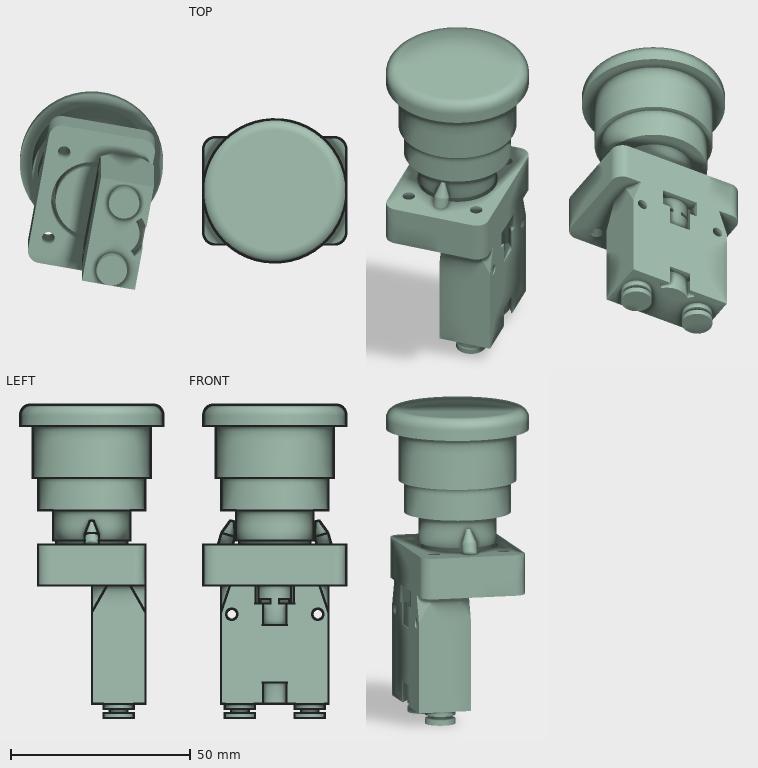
import cadquery as cq
import math


plate_length = 40.0
plate_width = 30.0
plate_height = 11.5
plate_corner_radius = 3.5
plate_bore_diameter = 22.5
plate_hole_diameter = 3.5
plate_hole_pitch_x = 25.0
plate_hole_pitch_y = 20.0

peg_diameter = 4.0
peg_tip_diameter = 1.1
peg_tip_fillet = 0.3
peg_straight_length = 2.75
peg_cone_length = 4.05
peg_embed = 2.0
peg_offset = 13.75
peg_lean = 16.0

foot_diameter = 20.0
neck_gap = 1.0
foot_height = plate_height + neck_gap
neck_diameter = 21.7
neck_height = 8.5
collar_diameter = 30.0
collar_height = 9.0
skirt_diameter = 33.0
skirt_height = 14.5
cap_diameter = 40.0
cap_height = 6.0
cap_edge_radius = 3.0

block_length = 30.0
block_depth = 15.0
block_height = 33.0
block_front = -plate_width / 2
block_middle = block_front + block_depth / 2
corner_cut_x = 2.5
corner_cut_y = 4.25
corner_cut_z = 7.5
cross_hole_diameter = 3.0
cross_hole_offset = 12.0
cross_hole_drop = 8.0

core_diameter = 12.0
recess_depth = 3.6
recess_width = 10.8
recess_height = 5.0
slot_width = 6.5
groove_diameter = 16.0
groove_half_angle = 45.0
groove_height = 6.0
notch_width = 2.8
notch_height = 1.2
notch_offset = 2.6
notch_depth = 4.0

fitting_diameter = 8.5
fitting_neck_diameter = 5.0
fitting_flange_height = 1.5
fitting_neck_height = 1.0
fitting_offset = 9.75


def stack_discs(center_x, center_y, start_z, steps):
    """Coaxial discs stacked upwards; steps lists (diameter, height) from the bottom."""
    stack = cq.Workplane("XY")
    base_z = start_z
    for diameter, height in steps:
        disc = cq.Workplane("XY", origin=(center_x, center_y, base_z)).circle(diameter / 2).extrude(height)
        stack = stack.union(disc)
        base_z += height
    return stack


def make_peg(side):
    """Round peg with a conical tip on the +X (side = 1) or -X (side = -1) end of the plate."""
    cone_top = peg_straight_length + peg_cone_length
    peg = (
        cq.Workplane("XZ")
        .moveTo(0, -peg_embed)
        .lineTo(peg_diameter / 2, -peg_embed)
        .lineTo(peg_diameter / 2, peg_straight_length)
        .lineTo(peg_tip_diameter / 2, cone_top)
        .lineTo(0, cone_top)
        .close()
        .revolve(360, (0, 0, 0), (0, 1, 0))
        .faces(">Z")
        .edges()
        .fillet(peg_tip_fillet)
    )
    leaning = peg.rotate((0, 0, 0), (0, 1, 0), -side * peg_lean)
    return leaning.translate((side * peg_offset, 0, plate_height))


def make_plate():
    plate = (
        cq.Workplane("XY")
        .rect(plate_length, plate_width)
        .extrude(plate_height)
        .edges("|Z")
        .fillet(plate_corner_radius)
        .faces(">Z")
        .workplane()
        .rarray(plate_hole_pitch_x, plate_hole_pitch_y, 2, 2)
        .hole(plate_hole_diameter)
    )
    bore = cq.Workplane("XY").circle(plate_bore_diameter / 2).extrude(plate_height)
    plate = plate.cut(bore)
    for side in (-1, 1):
        plate = plate.union(make_peg(side))
    return plate


def make_button():
    steps = [
        (foot_diameter, foot_height),
        (neck_diameter, neck_height),
        (collar_diameter, collar_height),
        (skirt_diameter, skirt_height),
        (cap_diameter, cap_height),
    ]
    button = stack_discs(0, 0, 0, steps)
    return button.faces(">Z").edges().fillet(cap_edge_radius)


def front_box(center_x, top_z, width, height, depth):
    """Box going into the block from its front face, hanging down from top_z."""
    return (
        cq.Workplane("XY", origin=(center_x, block_front, top_z - height))
        .box(width, depth, height, centered=(True, False, False))
    )


def corner_wedge(side_x, side_y):
    """Tetrahedron that slants off one upper corner of the block."""
    corner = cq.Vector(side_x * block_length / 2, block_middle + side_y * block_depth / 2, 0)
    along_x = corner - cq.Vector(side_x * corner_cut_x, 0, 0)
    along_y = corner - cq.Vector(0, side_y * corner_cut_y, 0)
    below = corner - cq.Vector(0, 0, corner_cut_z)
    triangles = [
        (corner, along_x, along_y),
        (corner, along_x, below),
        (corner, along_y, below),
        (along_x, along_y, below),
    ]
    faces = [cq.Face.makeFromWires(cq.Wire.makePolygon(points, close=True)) for points in triangles]
    return cq.Workplane(cq.Solid.makeSolid(cq.Shell.makeShell(faces)))


def groove_sector(bottom_z):
    """Upright round sector centred on the core, with the slot that opens it to the front of the block."""
    groove_radius = groove_diameter / 2
    end_x = groove_radius * math.sin(math.radians(groove_half_angle))
    end_y = -groove_radius * math.cos(math.radians(groove_half_angle))
    sector = (
        cq.Workplane("XY", origin=(0, block_middle, bottom_z))
        .lineTo(-end_x, end_y)
        .threePointArc((0, -groove_radius), (end_x, end_y))
        .close()
        .extrude(groove_height)
    )
    return sector.union(front_box(0, bottom_z + groove_height, slot_width, groove_height, recess_depth))


def make_block():
    block = (
        cq.Workplane("XY", origin=(0, block_middle, -block_height))
        .box(block_length, block_depth, block_height, centered=(True, True, False))
    )
    for side_x in (-1, 1):
        for side_y in (-1, 1):
            block = block.cut(corner_wedge(side_x, side_y))

    cross_holes = (
        cq.Workplane("XZ")
        .pushPoints([(-cross_hole_offset, -cross_hole_drop), (cross_hole_offset, -cross_hole_drop)])
        .circle(cross_hole_diameter / 2)
        .extrude(block_depth)
    )
    block = block.cut(cross_holes)

    core = (
        cq.Workplane("XY", origin=(0, block_middle, -block_height))
        .circle(core_diameter / 2)
        .extrude(block_height)
    )
    recesses = (
        front_box(0, 0, recess_width, recess_height, recess_depth)
        .union(groove_sector(-recess_height - groove_height))
        .union(groove_sector(-block_height))
    )
    block = block.cut(recesses.cut(core))
    for side in (-1, 1):
        notch_top = notch_height - recess_height
        block = block.cut(front_box(side * notch_offset, notch_top, notch_width, notch_height, notch_depth))

    fitting_steps = [
        (fitting_diameter, fitting_flange_height),
        (fitting_neck_diameter, fitting_neck_height),
        (fitting_diameter, fitting_flange_height),
    ]
    fitting_bottom = -block_height - 2 * fitting_flange_height - fitting_neck_height
    for side in (-1, 1):
        block = block.union(stack_discs(side * fitting_offset, block_middle, fitting_bottom, fitting_steps))
    return block


button = make_button()
plate = make_plate()
block = make_block()

result = cq.Compound.makeCompound([button.val(), plate.val(), block.val()])